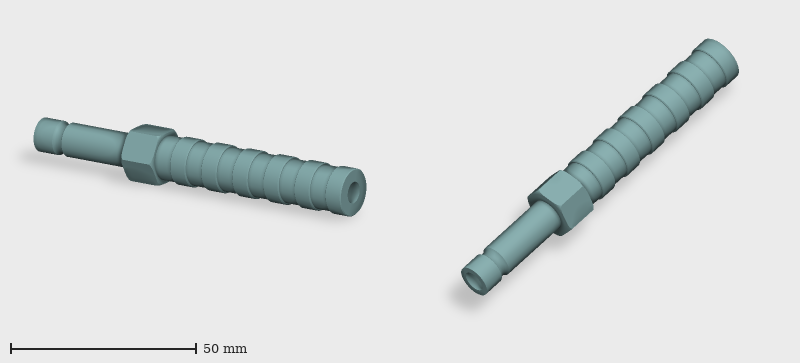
import cadquery as cq
import math

total_length = 100.0
bore_diameter = 6.0

plug_diameter = 9.4
groove_start = 6.0
groove_length = 3.0
groove_depth = 0.7

nut_start = 30.0
nut_length = 10.0
nut_across_flats = 14.0
nut_sides = 6
nut_end = nut_start + nut_length
nut_across_corners = nut_across_flats / math.cos(math.pi / nut_sides)
nut_round_radius = (nut_across_corners - nut_across_flats) / 2

tail_diameter = 12.2
tail_length = total_length - nut_end
rib_width = 5.0
rib_height = 0.5
rib_pitch = 2 * rib_width
rib_count = round(tail_length / rib_pitch)
rib_diameter = tail_diameter + 2 * rib_height
rib_chamfer = rib_height / 2
first_rib_start = nut_end + rib_width


def cylinder(start, length, diameter):
    """Solid cylinder along the X axis."""
    return cq.Workplane("YZ", origin=(start, 0, 0)).circle(diameter / 2).extrude(length)


def locking_groove():
    """Ring with a shallow arc section that cuts the locking groove into the plug."""
    radius = plug_diameter / 2
    middle = groove_start + groove_length / 2
    end = groove_start + groove_length
    return (
        cq.Workplane("XY")
        .moveTo(groove_start, radius)
        .threePointArc((middle, radius - groove_depth), (end, radius))
        .close()
        .revolve(360, (0, 0, 0), (1, 0, 0))
    )


def nut():
    """Hexagon with flats on top and bottom, trimmed by a cylinder with rounded rims."""
    hexagon = (
        cq.Workplane("YZ", origin=(nut_start, 0, 0))
        .polygon(nut_sides, nut_across_corners)
        .extrude(nut_length)
    )
    envelope = cylinder(nut_start, nut_length, nut_across_corners)
    return hexagon.intersect(envelope.edges("%CIRCLE").fillet(nut_round_radius))


def rib(start):
    """Raised band with both rims chamfered."""
    return cylinder(start, rib_width, rib_diameter).edges("%CIRCLE").chamfer(rib_chamfer)


plug = cylinder(0, nut_start, plug_diameter).cut(locking_groove())
tail = cylinder(nut_end, tail_length, tail_diameter)
for index in range(rib_count):
    tail = tail.union(rib(first_rib_start + index * rib_pitch))

body = plug.union(nut()).union(tail)
result = body.cut(cylinder(0, total_length, bore_diameter))